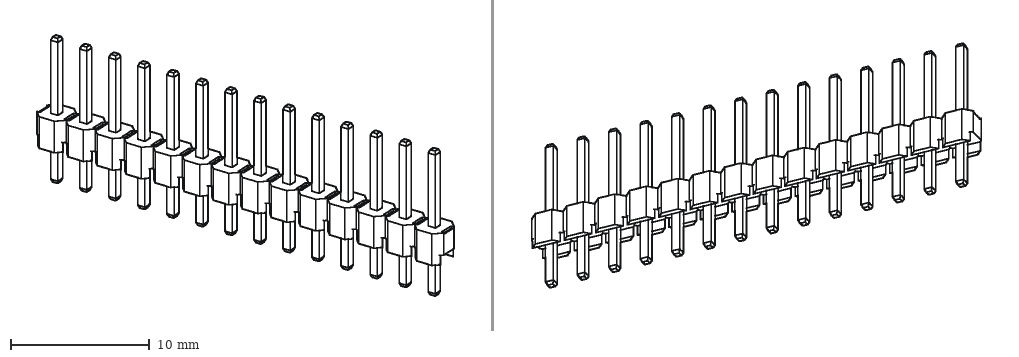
import cadquery as cq

row_length = 35.55
pin_count = 14
pitch = row_length / pin_count
first_pin_x = -(row_length - pitch) / 2
pin_positions = [(first_pin_x + i * pitch, 0) for i in range(pin_count)]
cell_boundaries = [(-row_length / 2 + i * pitch, 0) for i in range(pin_count + 1)]

body_width = pitch
body_height = 2.52
corner_chamfer = 0.6

channel_width = 1.65
channel_depth = 0.75

recess_length = 0.43
recess_width = 1.2
recess_depth = 0.1
recess_wall_angle = 45

pin_side = 0.65
pin_length = 11.6
pin_below_body = 3.0
tip_inset = 0.1
tip_height = 0.25


def make_body():
    """Row of octagonal cells joined at their narrow necks."""
    cells = (
        cq.Workplane("XY")
        .pushPoints(pin_positions)
        .eachpoint(lambda place: make_cell().moved(place), combine=True)
    )
    channel = cq.Workplane("XY").box(
        row_length, channel_width, channel_depth, centered=(True, True, False)
    )
    recesses = (
        cq.Workplane("XY", origin=(0, 0, body_height))
        .pushPoints(cell_boundaries)
        .rect(recess_length, recess_width)
        .extrude(-recess_depth, taper=recess_wall_angle)
    )
    return cells.cut(channel).cut(recesses)


def make_cell():
    """One square block with its four upright edges chamfered."""
    return (
        cq.Workplane("XY")
        .box(pitch, body_width, body_height, centered=(True, True, False))
        .edges("|Z")
        .chamfer(corner_chamfer)
        .val()
    )


def make_pins():
    """All pins, each passing through the body with both tips tapered."""
    return (
        cq.Workplane("XY", origin=(0, 0, -pin_below_body))
        .pushPoints(pin_positions)
        .rect(pin_side, pin_side)
        .extrude(pin_length)
        .faces("<Z or >Z")
        .chamfer(tip_height, tip_inset)
    )


result = make_body().union(make_pins())